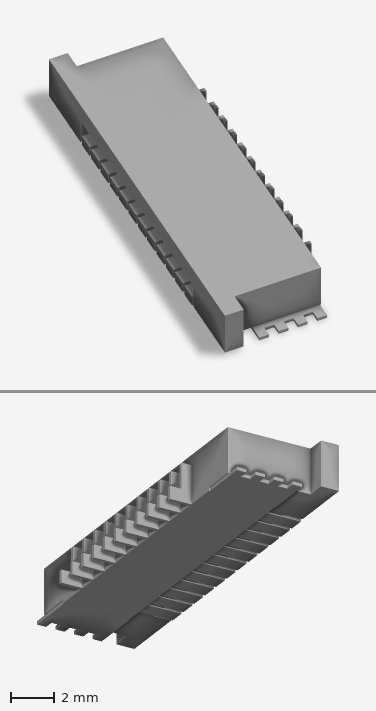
import cadquery as cq

total_height = 2.55
standoff = 0.17

body_width = 16.97
body_depth = 5.41
bar_width = 18.92
bar_depth = 0.96

slab_width = 13.5
slab_front = 1.91

slot_width = 12.15
slot_top = 1.53
pitch = 1.0
pin_count = 11
block_count = pin_count + 1
block_width = 0.81
block_bottom = 0.11
block_top = 0.68

pin_width = pitch - block_width
pin_top = 2.05
pin_stem_reach = 0.51
foot_reach = 1.14
foot_height = 0.68

tab_reach = 9.25
tab_web_reach = 8.76
tab_front = 1.87
tab_rear = 5.35
finger_count = 4
finger_width = (tab_rear - tab_front) / (2 * finger_count - 1)


def block(x_start, x_end, y_start, y_end, z_start, z_end):
    """Rectangular block between opposite corners."""
    size = (x_end - x_start, y_end - y_start, z_end - z_start)
    return cq.Workplane("XY").box(*size, centered=False).translate((x_start, y_start, z_start))


def centred_block(width, y_start, y_end, z_start, z_end, x_centre=0.0):
    """Rectangular block of the given width about x_centre."""
    half = width / 2
    return block(x_centre - half, x_centre + half, y_start, y_end, z_start, z_end)


def row_positions(count):
    """X positions of evenly pitched items centred on x = 0."""
    return [(i - (count - 1) / 2) * pitch for i in range(count)]


def housing():
    """Body with its wide front bar, bottom slab and cable slot."""
    body = centred_block(body_width, 0, body_depth, standoff, total_height)
    bar = centred_block(bar_width, 0, bar_depth, standoff, total_height)
    slab = centred_block(slab_width, slab_front, body_depth, 0, standoff)
    slot = centred_block(slot_width, 0, bar_depth, 0, slot_top)
    return body.union(bar).union(slab).cut(slot)


def slot_block(x_centre):
    """Block standing out from the slot's rear wall, flush with the front face."""
    front = centred_block(block_width, 0, bar_depth, block_bottom, block_top, x_centre)
    root = centred_block(block_width, bar_depth, slab_front, block_bottom, standoff, x_centre)
    return front.union(root)


def pin(x_centre):
    """L-shaped pin: an upright stem at the rear wall with a foot on the soldering plane."""
    profile = [
        (body_depth, 0),
        (body_depth + foot_reach, 0),
        (body_depth + foot_reach, foot_height),
        (body_depth + pin_stem_reach, foot_height),
        (body_depth + pin_stem_reach, pin_top),
        (body_depth, pin_top),
    ]
    solid = cq.Workplane("YZ").polyline(profile).close().extrude(pin_width)
    return solid.translate((x_centre - pin_width / 2, 0, 0))


def solder_tab():
    """Comb-shaped plate on the +X side, running under the body to the slab."""
    tab = block(slab_width / 2, tab_web_reach, tab_front, tab_rear, 0, standoff)
    for i in range(finger_count):
        y_start = tab_front + 2 * i * finger_width
        finger = block(tab_web_reach, tab_reach, y_start, y_start + finger_width, 0, standoff)
        tab = tab.union(finger)
    return tab


result = housing()
for x in row_positions(block_count):
    result = result.union(slot_block(x))
for x in row_positions(pin_count):
    result = result.union(pin(x))
right_tab = solder_tab()
result = result.union(right_tab).union(right_tab.mirror("YZ"))